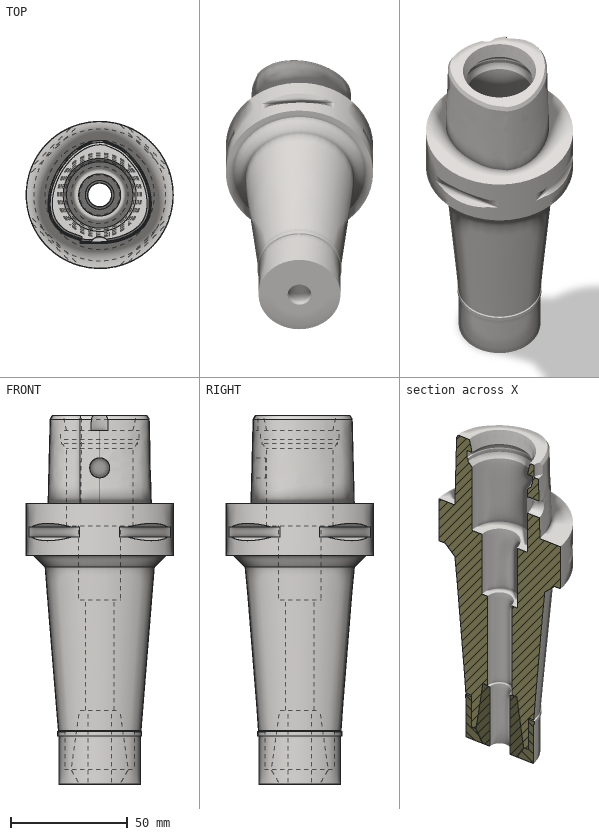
import cadquery as cq
import math

TOTAL_LENGTH = 158.0
FLANGE_TOP_Z = 120.4
FLANGE_BOTTOM_Z = 98.0
SHOULDER_CONE_HEIGHT = 4.9
NECK_TOP_Z = FLANGE_BOTTOM_Z - SHOULDER_CONE_HEIGHT
NECK_BOTTOM_Z = 23.0
NUT_TOP_Z = 22.6
NOSE_BOTTOM_Z = 6.3

FLANGE_DIAMETER = 63.0
FLANGE_RADIUS = FLANGE_DIAMETER / 2
NECK_TOP_RADIUS = 23.4
SHOULDER_TOP_RADIUS = NECK_TOP_RADIUS + SHOULDER_CONE_HEIGHT
NECK_BOTTOM_RADIUS = 17.7
NOSE_RADIUS = 14.9

SHANK_BASE_RADIUS = 22.1
LOBE_HEIGHT = 1.23
HALF_CURVE_STEPS = 12
SHANK_TAPER = 1 / 40
SHANK_CHAMFER_HEIGHT = 1.7
SHANK_CHAMFER_WIDTH = 1.0

MOUTH_RADIUS = 15.6
MOUTH_DEPTH = 6.5
GROOVE_RADIUS = 16.9
GROOVE_FLOOR_DEPTH = 10.3
SEAT_RADIUS = 16.3
SEAT_CONE_HEIGHT = 2.0
SEAT_DEPTH = 14.0
BORE_RADIUS = 14.2
BORE_DEPTH = 47.4
THREAD_RADIUS = 9.0
THREAD_END_Z = 79.0
CHANNEL_RADIUS = 6.2

NOTCH_RADIUS = 4.1
NOTCH_INNER_Y = -17.9
NOTCH_DEPTH = 6.5
KEY_HOLE_RADIUS = 4.3
KEY_HOLE_Z = 135.5
KEY_HOLE_FLOOR_Y = -14.7

SLOT_COUNT = 4
SLOT_FIRST_ANGLE = 45.0
SLOT_Z = 108.0
SLOT_HEIGHT = 4.3
SLOT_FLOOR_DISTANCE = 27.5
SLOT_BEVEL_DISTANCE = 29.0
SLOT_BEVEL_ANGLE = 33.0

NUT_RADIUS = 17.5
NUT_COLLAR_RADIUS = 18.0
NUT_COLLAR_HEIGHT = 1.9

COLLET_TOP_Z = 31.6
COLLET_TOP_RADIUS = 8.7
COLLET_ANGLE = 8.0
CLOSING_ANGLE = 30.0
COLLET_BORE_RADIUS = 5.0
COLLET_MAX_RADIUS = COLLET_TOP_RADIUS + (COLLET_TOP_Z - NOSE_BOTTOM_Z) * math.tan(math.radians(COLLET_ANGLE))
COLLET_FACE_RADIUS = COLLET_MAX_RADIUS - NOSE_BOTTOM_Z * math.tan(math.radians(CLOSING_ANGLE))


def revolved(profile):
    """Solid of revolution about Z from a closed list of (radius, z) points."""
    return cq.Workplane("XZ").polyline(profile).close().revolve(360, (0, 0), (0, 1))


def lobed_point(mean_radius, angle, z):
    """Point where the outward normal of the constant-width curve has the given angle."""
    lobe_phase = 3 * (angle - math.pi / 2)
    reach = mean_radius + LOBE_HEIGHT * math.cos(lobe_phase)
    slide = 3 * LOBE_HEIGHT * math.sin(lobe_phase)
    return cq.Vector(
        reach * math.cos(angle) + slide * math.sin(angle),
        reach * math.sin(angle) - slide * math.cos(angle),
        z,
    )


def lobed_section(mean_radius, z):
    """Closed constant-width curve at height z, made of two halves that meet on the YZ plane."""
    halves = []
    for start_angle, direction in ((-math.pi / 2, 1), (math.pi / 2, -1)):
        angles = [start_angle + math.pi * step / HALF_CURVE_STEPS for step in range(HALF_CURVE_STEPS + 1)]
        points = [lobed_point(mean_radius, angle, z) for angle in angles]
        tangents = [cq.Vector(direction, 0, 0), cq.Vector(-direction, 0, 0)]
        halves.append(cq.Edge.makeSpline(points, tangents=tangents))
    return cq.Wire.assembleEdges(halves)


def make_shank():
    chamfer_z = TOTAL_LENGTH - SHANK_CHAMFER_HEIGHT
    chamfer_radius = SHANK_BASE_RADIUS - (chamfer_z - FLANGE_TOP_Z) * SHANK_TAPER
    base = lobed_section(SHANK_BASE_RADIUS, FLANGE_TOP_Z)
    chamfer_edge = lobed_section(chamfer_radius, chamfer_z)
    end = lobed_section(chamfer_radius - SHANK_CHAMFER_WIDTH, TOTAL_LENGTH)
    taper = cq.Solid.makeLoft([base, chamfer_edge], True)
    chamfer = cq.Solid.makeLoft([chamfer_edge, end], True)
    return cq.Workplane(taper).union(cq.Workplane(chamfer))


def make_holder_exterior():
    return revolved([
        (0, FLANGE_TOP_Z),
        (FLANGE_RADIUS, FLANGE_TOP_Z),
        (FLANGE_RADIUS, FLANGE_BOTTOM_Z),
        (SHOULDER_TOP_RADIUS, FLANGE_BOTTOM_Z),
        (NECK_TOP_RADIUS, NECK_TOP_Z),
        (NECK_BOTTOM_RADIUS, NECK_BOTTOM_Z),
        (NOSE_RADIUS, NECK_BOTTOM_Z),
        (NOSE_RADIUS, NOSE_BOTTOM_Z),
        (0, NOSE_BOTTOM_Z),
    ])


def make_holder_bore():
    """Clamping bore from the shank end, coolant channel and collet socket."""
    mouth_end_z = TOTAL_LENGTH - MOUTH_DEPTH
    groove_floor_z = TOTAL_LENGTH - GROOVE_FLOOR_DEPTH
    seat_z = TOTAL_LENGTH - SEAT_DEPTH
    bore_floor_z = TOTAL_LENGTH - BORE_DEPTH
    return revolved([
        (0, TOTAL_LENGTH),
        (MOUTH_RADIUS, TOTAL_LENGTH),
        (BORE_RADIUS, mouth_end_z),
        (GROOVE_RADIUS, mouth_end_z),
        (GROOVE_RADIUS, groove_floor_z),
        (SEAT_RADIUS, groove_floor_z),
        (SEAT_RADIUS, seat_z + SEAT_CONE_HEIGHT),
        (BORE_RADIUS, seat_z),
        (BORE_RADIUS, bore_floor_z),
        (THREAD_RADIUS, bore_floor_z),
        (THREAD_RADIUS, THREAD_END_Z),
        (CHANNEL_RADIUS, THREAD_END_Z),
        (CHANNEL_RADIUS, COLLET_TOP_Z),
        (COLLET_TOP_RADIUS, COLLET_TOP_Z),
        (COLLET_MAX_RADIUS, NOSE_BOTTOM_Z),
        (0, NOSE_BOTTOM_Z),
    ])


def make_notch():
    floor_z = TOTAL_LENGTH - NOTCH_DEPTH
    axis_y = NOTCH_INNER_Y - NOTCH_RADIUS
    return cq.Workplane("XY", origin=(0, axis_y, floor_z)).circle(NOTCH_RADIUS).extrude(NOTCH_DEPTH)


def make_key_hole():
    length = FLANGE_RADIUS + KEY_HOLE_FLOOR_Y
    return (
        cq.Workplane("XZ", origin=(0, KEY_HOLE_FLOOR_Y, KEY_HOLE_Z))
        .circle(KEY_HOLE_RADIUS)
        .extrude(length)
    )


def make_gripper_slot(angle):
    """Straight slot across the flange, square at its floor and flared toward the outside."""
    half_height = SLOT_HEIGHT / 2
    flare = (FLANGE_RADIUS - SLOT_BEVEL_DISTANCE) * math.tan(math.radians(SLOT_BEVEL_ANGLE))
    upper_half = [
        (SLOT_FLOOR_DISTANCE, half_height),
        (SLOT_BEVEL_DISTANCE, half_height),
        (FLANGE_RADIUS, half_height + flare),
    ]
    lower_half = [(distance, -height) for distance, height in reversed(upper_half)]
    return (
        cq.Workplane("XZ", origin=(0, 0, SLOT_Z))
        .polyline(upper_half + lower_half)
        .close()
        .extrude(FLANGE_RADIUS, both=True)
        .rotate((0, 0, 0), (0, 0, 1), angle)
    )


def make_holder():
    holder = make_holder_exterior().union(make_shank())
    holder = holder.cut(make_holder_bore()).cut(make_notch()).cut(make_key_hole())
    for index in range(SLOT_COUNT):
        holder = holder.cut(make_gripper_slot(SLOT_FIRST_ANGLE + index * 360 / SLOT_COUNT))
    return holder


def make_nut():
    collar_bottom_z = NUT_TOP_Z - NUT_COLLAR_HEIGHT
    return revolved([
        (COLLET_FACE_RADIUS, 0),
        (NUT_RADIUS, 0),
        (NUT_RADIUS, collar_bottom_z),
        (NUT_COLLAR_RADIUS, collar_bottom_z),
        (NUT_COLLAR_RADIUS, NUT_TOP_Z),
        (NOSE_RADIUS, NUT_TOP_Z),
        (NOSE_RADIUS, NOSE_BOTTOM_Z),
        (COLLET_MAX_RADIUS, NOSE_BOTTOM_Z),
    ])


def make_collet():
    return revolved([
        (COLLET_BORE_RADIUS, 0),
        (COLLET_FACE_RADIUS, 0),
        (COLLET_MAX_RADIUS, NOSE_BOTTOM_Z),
        (COLLET_TOP_RADIUS, COLLET_TOP_Z),
        (COLLET_BORE_RADIUS, COLLET_TOP_Z),
    ])


holder = make_holder()
nut = make_nut()
collet = make_collet()

result = cq.Compound.makeCompound([holder.val(), nut.val(), collet.val()])